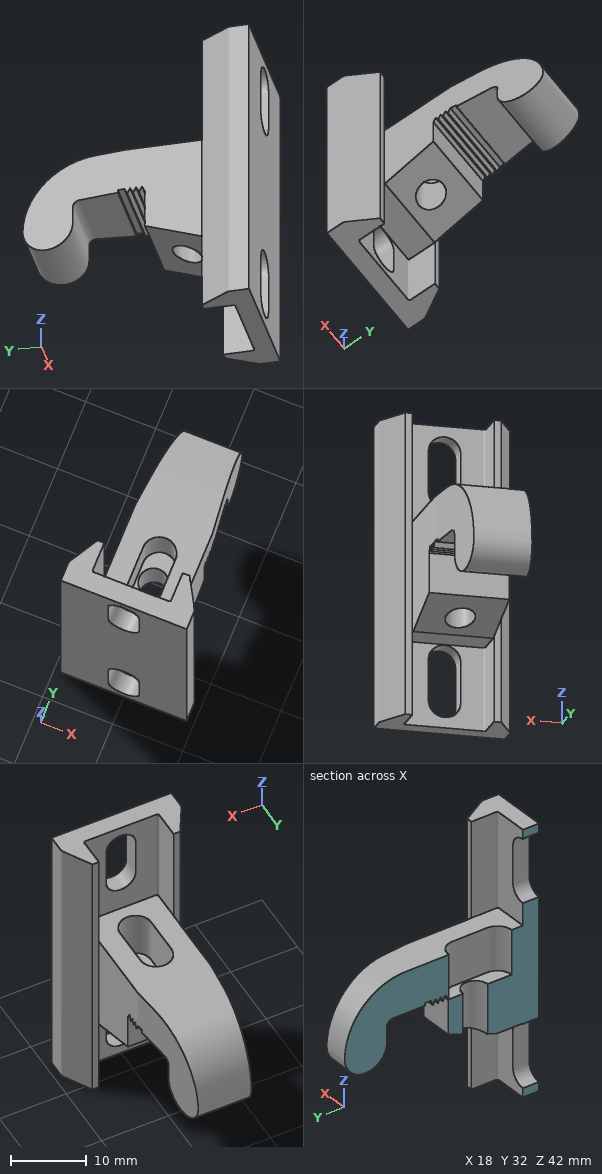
import cadquery as cq
import math

rail_width = 18.0
rail_height = 42.0
rail_depth = 7.0
rail_tip_half_width = 6.58
flank_angle = 30.0
flank_fillet = 1.0
channel_width = 11.2
channel_floor = 2.7
channel_fillet = 0.3

mount_slot_length = 10.0
mount_slot_width = 4.4
mount_slot_offset = 14.5

arm_width = 11.0
arm_top = 6.0
arm_reach = 32.0
taper_start = 17.8
taper_angle = 6.0
bend_radius = 10.0
hook_tip_radius = 3.5
hook_inner_fillet = 1.0
relief_length = 0.9

tooth_pitch = 0.8
tooth_height = 0.8
tooth_root_z = -0.2
tooth_tip_z = tooth_root_z - tooth_height
hook_flat_z = (tooth_root_z + tooth_tip_z) / 2

support_reach = 15.0
support_end_z = -6.5
support_slope = 20.0

arm_slot_length = 10.3
arm_slot_width = 4.6
arm_slot_y = 9.7
screw_hole_diameter = 4.0
screw_hole_y = 10.5


def extrude_across(profile, width):
    """Extrude a YZ profile symmetrically about X = 0."""
    return profile.extrude(width / 2, both=True)


def make_rail():
    half_width = rail_width / 2
    half_channel = channel_width / 2
    flank_run = half_width - rail_tip_half_width
    flank_start_y = rail_depth - flank_run / math.tan(math.radians(flank_angle))
    rail = (
        cq.Workplane("XY")
        .polyline([
            (-half_width, 0),
            (half_width, 0),
            (half_width, flank_start_y),
            (rail_tip_half_width, rail_depth),
            (half_channel, rail_depth),
            (half_channel, channel_floor),
            (-half_channel, channel_floor),
            (-half_channel, rail_depth),
            (-rail_tip_half_width, rail_depth),
            (-half_width, flank_start_y),
        ])
        .close()
        .extrude(rail_height / 2, both=True)
    )
    for side in (-1, 1):
        flank_corner = cq.selectors.NearestToPointSelector((side * half_width, flank_start_y, 0))
        rail = rail.edges("|Z").edges(flank_corner).fillet(flank_fillet)
        channel_corner = cq.selectors.NearestToPointSelector((side * half_channel, channel_floor, 0))
        rail = rail.edges("|Z").edges(channel_corner).fillet(channel_fillet)
    mount_slots = (
        cq.Workplane("XZ")
        .pushPoints([(0, -mount_slot_offset), (0, mount_slot_offset)])
        .slot2D(mount_slot_length, mount_slot_width, 90)
        .extrude(-rail_depth)
    )
    return rail.cut(mount_slots)


def serration_points():
    """Zigzag from the start of the arm taper back to the channel floor."""
    points = [(taper_start, tooth_root_z)]
    y = taper_start
    while y - tooth_pitch > channel_floor:
        points.append((y - tooth_pitch / 2, tooth_tip_z))
        y -= tooth_pitch
        points.append((y, tooth_root_z))
    return points


def make_screw_slot():
    """Slot through the full arm; its floor is level with the tooth tips."""
    return (
        cq.Workplane("XY")
        .workplane(offset=tooth_tip_z)
        .center(0, arm_slot_y)
        .slot2D(arm_slot_length, arm_slot_width, 90)
        .extrude(arm_top - tooth_tip_z)
    )


def make_arm():
    bend_center_y = arm_reach - bend_radius
    bend_center_z = arm_top - bend_radius
    bend_mid = bend_radius * math.sin(math.radians(45))
    hook_center_y = arm_reach - hook_tip_radius
    hook_inner_y = arm_reach - 2 * hook_tip_radius
    fillet_mid = hook_inner_fillet * (1 - math.sin(math.radians(45)))
    relief_y = taper_start + relief_length
    profile = (
        cq.Workplane("YZ")
        .moveTo(channel_floor, tooth_root_z)
        .lineTo(channel_floor, arm_top)
        .lineTo(bend_center_y, arm_top)
        .threePointArc(
            (bend_center_y + bend_mid, bend_center_z + bend_mid),
            (arm_reach, bend_center_z),
        )
        .threePointArc(
            (hook_center_y, bend_center_z - hook_tip_radius),
            (hook_inner_y, bend_center_z),
        )
        .lineTo(hook_inner_y, hook_flat_z - hook_inner_fillet)
        .threePointArc(
            (hook_inner_y - fillet_mid, hook_flat_z - fillet_mid),
            (hook_inner_y - hook_inner_fillet, hook_flat_z),
        )
        .lineTo(relief_y, hook_flat_z)
        .lineTo(relief_y, tooth_root_z)
    )
    for point in serration_points():
        profile = profile.lineTo(*point)
    arm = extrude_across(profile.close(), arm_width)

    half_width = arm_width / 2
    tip_half_width = half_width - (arm_reach - taper_start) * math.tan(math.radians(taper_angle))
    plan = (
        cq.Workplane("XY")
        .polyline([
            (-half_width, 0),
            (half_width, 0),
            (half_width, taper_start),
            (tip_half_width, arm_reach),
            (-tip_half_width, arm_reach),
            (-half_width, taper_start),
        ])
        .close()
        .extrude(rail_height / 2, both=True)
    )
    return arm.intersect(plan).cut(make_screw_slot())


def make_support():
    """Block toothed on top to mesh with the arm, sloped below and level inside the channel."""
    slope_run = support_reach - rail_depth
    support_root_z = support_end_z - slope_run * math.tan(math.radians(support_slope))
    outline = (
        cq.Workplane("YZ")
        .polyline([
            (channel_floor, arm_top),
            (channel_floor, support_root_z),
            (rail_depth, support_root_z),
            (support_reach, support_end_z),
            (support_reach, arm_top),
        ])
        .close()
    )
    below_teeth = cq.Workplane("YZ").moveTo(taper_start, support_root_z)
    for point in serration_points():
        below_teeth = below_teeth.lineTo(*point)
    below_teeth = (
        below_teeth
        .lineTo(channel_floor, tooth_root_z)
        .lineTo(channel_floor, support_root_z)
        .close()
    )
    support = extrude_across(outline, arm_width).intersect(extrude_across(below_teeth, arm_width))
    screw_hole = (
        cq.Workplane("XY")
        .center(0, screw_hole_y)
        .circle(screw_hole_diameter / 2)
        .extrude(rail_height / 2, both=True)
    )
    return support.cut(screw_hole).cut(make_screw_slot())


result = make_rail().union(make_support(), clean=False).union(make_arm(), clean=False)